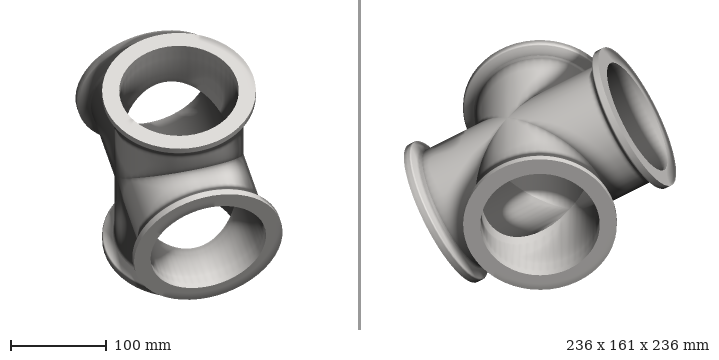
import cadquery as cq
import math

span = 236.0
bore_diameter = 125.0
tube_diameter = 135.0
flange_diameter = 161.0

rim_thickness = 8.0
back_slope = 20.0
edge_round = 2.0
root_round = 2.8

half_span = span / 2
tube_radius = tube_diameter / 2
flange_radius = flange_diameter / 2
rim_z = half_span - rim_thickness
back_depth = (flange_radius - tube_radius) * math.tan(math.radians(back_slope))
root_z = rim_z - back_depth


def edges_at_height(z):
    """Selector for the circular edges lying at +z and -z."""
    margin = 0.2

    def slab(height):
        return cq.selectors.BoxSelector(
            (-span, -span, height - margin),
            (span, span, height + margin),
        )

    return slab(z) + slab(-z)


def flanged_tube():
    """Solid cylinder along Z with a tapered clamp flange at each end."""
    profile = (
        cq.Workplane("XZ")
        .moveTo(0, -half_span)
        .lineTo(flange_radius, -half_span)
        .lineTo(flange_radius, -rim_z)
        .lineTo(tube_radius, -root_z)
        .lineTo(tube_radius, root_z)
        .lineTo(flange_radius, rim_z)
        .lineTo(flange_radius, half_span)
        .lineTo(0, half_span)
        .close()
    )
    body = profile.revolve(360, (0, 0, 0), (0, 1, 0))
    body = body.edges("%CIRCLE").edges(edges_at_height(root_z)).fillet(root_round)
    return body.edges("%CIRCLE").edges(edges_at_height(rim_z)).fillet(edge_round)


def along_x(body):
    """Turn a body lying along Z so that it lies along X."""
    return body.rotate((0, 0, 0), (0, 1, 0), 90)


tube = flanged_tube()
bore = cq.Workplane("XY").circle(bore_diameter / 2).extrude(half_span, both=True)

cross = tube.union(along_x(tube))
result = cross.cut(bore).cut(along_x(bore))